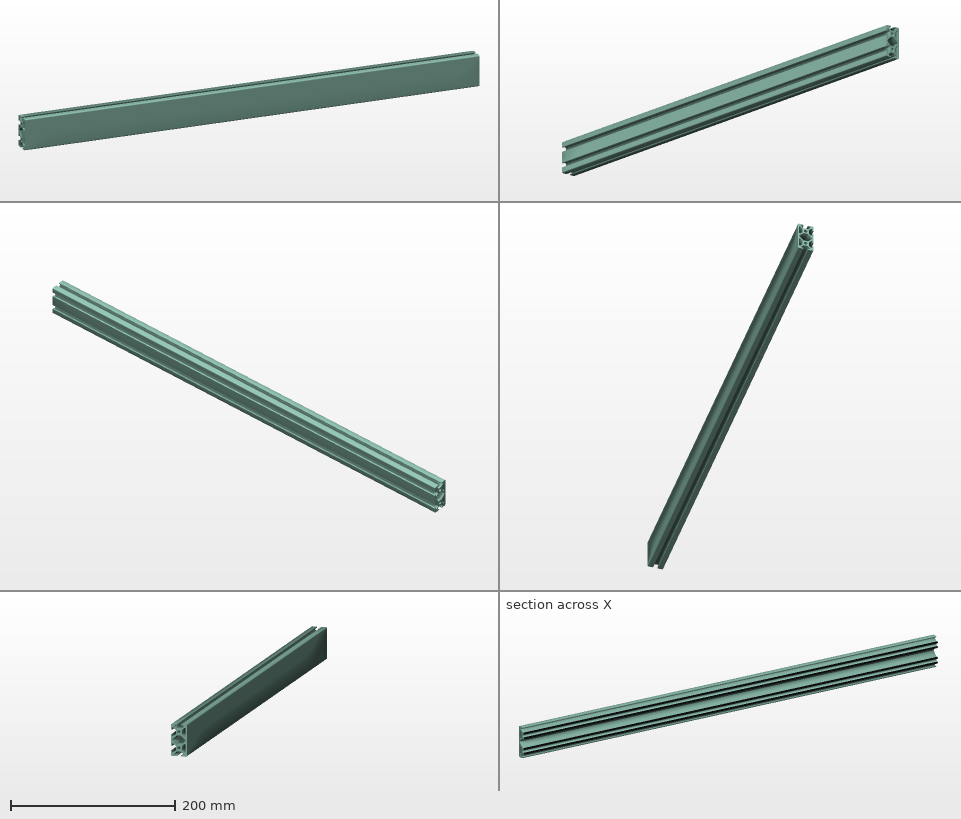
import cadquery as cq
import math

MODULE = 20.0
LENGTH = 600.0
CORNER_RADIUS = 1.5
SLOT_OPENING = 5.2
LIP_CHAMFER = 0.5
LIP_THICKNESS = 1.5
CAVITY_WIDTH = 11.0
CORE_WIDTH = 8.0
RIB_THICKNESS = 1.8
BORE_DIAMETER = 4.3

HALF_MODULE = MODULE / 2
HALF_CORE = CORE_WIDTH / 2
HALF_CAVITY = CAVITY_WIDTH / 2
HALF_OPENING = SLOT_OPENING / 2
WALL_INNER = HALF_MODULE - LIP_THICKNESS
RIB_OFFSET = RIB_THICKNESS / math.sqrt(2)


def extrude_outline(points):
    """Extrude a closed XZ outline along the full length, centred on Y."""
    return cq.Workplane("XZ").polyline(points).close().extrude(LENGTH / 2, both=True)


def slot_cutter(open_face):
    """Slot in the +X face of a module centred at the origin."""
    upper_side = [
        (HALF_CORE, HALF_CORE - RIB_OFFSET),
        (HALF_CAVITY + RIB_OFFSET, HALF_CAVITY),
        (WALL_INNER, HALF_CAVITY),
    ]
    if open_face:
        upper_side.append((WALL_INNER, HALF_OPENING))
        upper_side.append((HALF_MODULE - LIP_CHAMFER, HALF_OPENING))
        upper_side.append((HALF_MODULE, HALF_OPENING + LIP_CHAMFER))
    lower_side = [(x, -z) for x, z in reversed(upper_side)]
    return extrude_outline(upper_side + lower_side)


def central_hollow():
    """Hexagonal chamber between the two cores, bounded by the ribs."""
    core_face = HALF_MODULE - HALF_CORE
    core_corner = HALF_CORE - RIB_OFFSET
    wall_end = LIP_THICKNESS - RIB_OFFSET
    upper = [
        (WALL_INNER, wall_end),
        (core_corner, core_face),
        (-core_corner, core_face),
        (-WALL_INNER, wall_end),
    ]
    lower = [(x, -z) for x, z in reversed(upper)]
    return extrude_outline(upper + lower)


def module_cutter(outer_angle):
    """Slots and bore of one module; outer_angle turns +X to its short outer side."""
    closed_slot = slot_cutter(open_face=False)
    open_slot = slot_cutter(open_face=True)
    bore = cq.Workplane("XZ").circle(BORE_DIAMETER / 2).extrude(LENGTH / 2, both=True)
    cutter = bore.union(closed_slot)
    for angle in (180, outer_angle):
        cutter = cutter.union(open_slot.rotate((0, 0, 0), (0, 1, 0), angle))
    return cutter


bar = cq.Workplane("XY").box(MODULE, LENGTH, 2 * MODULE)
bar = bar.edges("|Y").fillet(CORNER_RADIUS)
bar = bar.cut(central_hollow())
for side, outer_angle in ((1, -90), (-1, 90)):
    bar = bar.cut(module_cutter(outer_angle).translate((0, 0, side * HALF_MODULE)))

result = bar